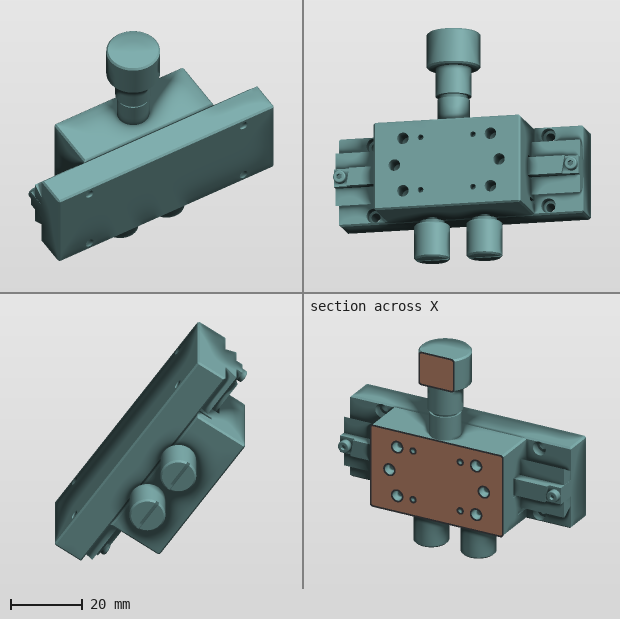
import cadquery as cq
import math


block_height = 25.0
mid_z = block_height / 2
carriage_depth = 16.5
carriage_length = 42.0
rail_length = 70.0
rail_face_x = 16.7
rail_back_x = 26.0
edge_chamfer = 0.5

dovetail_tip_x = 13.0
dovetail_tip_half = 7.5
dovetail_flank_angle = 30.0
dovetail_end_setback = 0.1

bar_tip_x = 10.0
bar_half = 2.5
bar_slot_x = 9.0
bar_slot_half = 3.0

seat_x = 11.0
seat_length = 4.6
seat_slant = 0.85
screw_y = 33.1
screw_head_diameter = 3.5
screw_head_height = 1.8
screw_head_fillet = 0.35
screw_socket_width = 1.5
screw_socket_depth = 1.0

mount_y = 25.0
mount_z = 10.0
mount_diameter = 2.5
mount_bore_diameter = 4.1
mount_bore_depth = 2.5

slit_bottom_z = 3.15
slit_width = 1.0
slit_depth = 4.75

drill_tip_angle = 118.0
hole_row_z = 7.5
hole_diameter = 3.3
hole_depth = 6.0
corner_hole_y = 12.5
middle_hole_y = 15.0
pin_hole_diameter = 1.6
pin_hole_depth = 3.0
pin_hole_y = 7.5

drive_x = 8.0
stem_diameter = 9.0
stem_height = 7.1
groove_diameter = 8.0
groove_height = 1.0
sleeve_diameter = 10.0
sleeve_height = 8.0
drive_knob_diameter = 15.0
drive_knob_height = 10.0

clamp_x = 13.5
clamp_y = 7.5
neck_diameter = 3.0
neck_height = 1.0
collar_diameter = 7.0
collar_height = 1.0
clamp_knob_diameter = 10.0
clamp_knob_height = 10.0
driver_slot_width = 1.0
driver_slot_depth = 0.6


def box_between(x_range, y_range, z_range):
    """Box given by its limits along each axis."""
    (x0, x1), (y0, y1), (z0, z1) = x_range, y_range, z_range
    return cq.Workplane("XY").box(x1 - x0, y1 - y0, z1 - z0, centered=False).translate((x0, y0, z0))


def chamfered_block(x_range, length, outer_side):
    """Block with every edge chamfered except the two upright edges of its mating face."""
    block = box_between(x_range, (-length / 2, length / 2), (0, block_height))
    return block.edges(f"|Y or |X or (|Z and {outer_side}X)").chamfer(edge_chamfer)


def dovetail(y_start, y_end):
    """Dovetail prism that is widest at its tip and narrows towards the rail face."""
    narrowing = (rail_face_x - dovetail_tip_x) * math.tan(math.radians(dovetail_flank_angle))
    root_half = dovetail_tip_half - narrowing
    outline = [
        (dovetail_tip_x, mid_z - dovetail_tip_half),
        (rail_face_x, mid_z - root_half),
        (rail_face_x, mid_z + root_half),
        (dovetail_tip_x, mid_z + dovetail_tip_half),
    ]
    return cq.Workplane("XZ", origin=(0, y_start, 0)).polyline(outline).close().extrude(y_start - y_end)


def cylinder_along_x(x, y, z, diameter, length):
    return cq.Workplane("YZ", origin=(x, y, z)).circle(diameter / 2).extrude(length)


def cylinder_along_z(x, y, z, diameter, length):
    return cq.Workplane("XY", origin=(x, y, z)).circle(diameter / 2).extrude(length)


def drilled_hole(y, z, diameter, depth):
    """Blind hole from the outer carriage face, with a conical drill point."""
    radius = diameter / 2
    point_depth = depth + radius / math.tan(math.radians(drill_tip_angle / 2))
    profile = cq.Workplane("XY").polyline([(0, 0), (0, radius), (depth, radius), (point_depth, 0)]).close()
    return profile.revolve(360, (0, 0, 0), (1, 0, 0)).translate((0, y, z))


def bar_seat():
    """Slanted cut that lowers the +Y end of the bar for a screw head."""
    end_y = rail_length / 2
    inner_y = end_y - seat_length
    outline = [
        (end_y, mid_z - bar_half),
        (end_y, mid_z + bar_half),
        (inner_y, mid_z + bar_half),
        (inner_y + seat_slant, mid_z - bar_half),
    ]
    return cq.Workplane("YZ", origin=(bar_tip_x, 0, 0)).polyline(outline).close().extrude(seat_x - bar_tip_x)


def end_screw():
    """Socket screw head that stands on the seat at the +Y end."""
    top_x = seat_x - screw_head_height
    head = cylinder_along_x(top_x, screw_y, mid_z, screw_head_diameter, screw_head_height)
    head = head.faces("<X").edges().fillet(screw_head_fillet)
    socket_corners = screw_socket_width / math.cos(math.radians(30))
    socket = cq.Workplane("YZ", origin=(top_x, screw_y, mid_z)).transformed(rotate=(0, 0, 90))
    return head.cut(socket.polygon(6, socket_corners).extrude(screw_socket_depth))


def make_rail():
    half_length = rail_length / 2
    rail = chamfered_block((rail_face_x, rail_back_x), rail_length, ">")
    rail = rail.union(dovetail(dovetail_end_setback - half_length, half_length))
    bar = box_between(
        (bar_tip_x, rail_face_x), (-half_length, half_length), (mid_z - bar_half, mid_z + bar_half)
    )
    rail = rail.union(bar)

    for turn in (0, 180):
        axis_start = (0, 0, mid_z)
        axis_end = (1, 0, mid_z)
        rail = rail.cut(bar_seat().rotate(axis_start, axis_end, turn))
        rail = rail.union(end_screw().rotate(axis_start, axis_end, turn))

    for y in (-mount_y, mount_y):
        for z in (mid_z - mount_z, mid_z + mount_z):
            rail = rail.cut(cylinder_along_x(rail_face_x, y, z, mount_diameter, rail_back_x - rail_face_x))
            rail = rail.cut(cylinder_along_x(rail_face_x, y, z, mount_bore_diameter, mount_bore_depth))
    return rail


def drive_knob():
    """Stepped drive knob on the top face, built upwards."""
    stem = cylinder_along_z(drive_x, 0, block_height, stem_diameter, stem_height)
    groove_z = block_height + stem_height
    groove = cylinder_along_z(drive_x, 0, groove_z, groove_diameter, groove_height)
    sleeve_z = groove_z + groove_height
    sleeve = cylinder_along_z(drive_x, 0, sleeve_z, sleeve_diameter, sleeve_height)
    grip = cylinder_along_z(drive_x, 0, sleeve_z + sleeve_height, drive_knob_diameter, drive_knob_height)
    grip = grip.edges().chamfer(edge_chamfer)
    return stem.union(groove).union(sleeve).union(grip)


def clamp_knob(y):
    """Clamping knob under the bottom face, built downwards, with a screwdriver slot along Y."""
    neck = cylinder_along_z(clamp_x, y, -neck_height, neck_diameter, neck_height)
    collar_z = -neck_height - collar_height
    collar = cylinder_along_z(clamp_x, y, collar_z, collar_diameter, collar_height)
    grip_z = collar_z - clamp_knob_height
    grip = cylinder_along_z(clamp_x, y, grip_z, clamp_knob_diameter, clamp_knob_height)
    grip = grip.faces("<Z or >Z").edges().chamfer(edge_chamfer)
    slot = box_between(
        (clamp_x - driver_slot_width / 2, clamp_x + driver_slot_width / 2),
        (y - clamp_knob_diameter / 2, y + clamp_knob_diameter / 2),
        (grip_z, grip_z + driver_slot_depth),
    )
    return neck.union(collar).union(grip.cut(slot))


def make_carriage():
    half_length = carriage_length / 2
    ends = (-half_length, half_length)
    carriage = chamfered_block((0, carriage_depth), carriage_length, "<")

    carriage = carriage.cut(dovetail(*ends))
    carriage = carriage.cut(
        box_between((bar_slot_x, carriage_depth), ends, (mid_z - bar_slot_half, mid_z + bar_slot_half))
    )
    carriage = carriage.cut(
        box_between(
            (carriage_depth - slit_depth, carriage_depth), ends, (slit_bottom_z, slit_bottom_z + slit_width)
        )
    )

    for side in (-1, 1):
        carriage = carriage.cut(drilled_hole(side * middle_hole_y, mid_z, hole_diameter, hole_depth))
        for z in (mid_z - hole_row_z, mid_z + hole_row_z):
            carriage = carriage.cut(drilled_hole(side * corner_hole_y, z, hole_diameter, hole_depth))
            carriage = carriage.cut(drilled_hole(side * pin_hole_y, z, pin_hole_diameter, pin_hole_depth))

    carriage = carriage.union(drive_knob())
    for y in (-clamp_y, clamp_y):
        carriage = carriage.union(clamp_knob(y))
    return carriage


rail = make_rail()
carriage = make_carriage()

result = cq.Compound.makeCompound([rail.val(), carriage.val()])